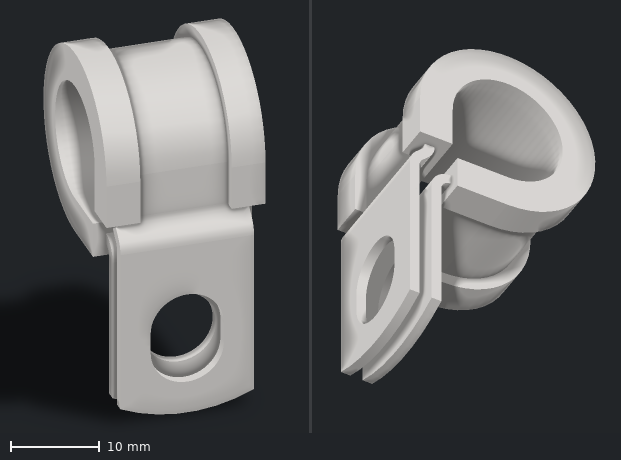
import cadquery as cq
import math

bore_radius = 7.15
cushion_radius = 11.35
cushion_width = 18.9
side_leg_end_z = -5.25
bottom_leg_end_x = 6.5

strap_radius = 9.87
strap_thickness = 1.25
strap_width = 15.9
groove_width = 10.85

tab_outer_x = 11.82
tab_bottom_z = -30.1
tab_end_rise = 1.7
bend_inner_radius = 1.25
hole_diameter = 8.7
hole_z = -20.6
slot_length = 11.1
step_bend_angle = math.radians(45)

strap_inner_radius = strap_radius - strap_thickness
bend_outer_radius = bend_inner_radius + strap_thickness


def extrude_centered(sketch, width):
    """Extrude an XZ outline by the width, symmetrically about Y = 0."""
    return sketch.extrude(width / 2, both=True)


def clamp_loop(inner_radius, outer_radius, width):
    """Three-quarter ring continued by the side leg and the bottom leg."""
    diagonal = math.sqrt(0.5)
    outline = (
        cq.Workplane("XZ")
        .moveTo(outer_radius, side_leg_end_z)
        .lineTo(outer_radius, 0)
        .threePointArc((-outer_radius * diagonal, outer_radius * diagonal), (0, -outer_radius))
        .lineTo(bottom_leg_end_x, -outer_radius)
        .lineTo(bottom_leg_end_x, -inner_radius)
        .lineTo(0, -inner_radius)
        .threePointArc((-inner_radius * diagonal, inner_radius * diagonal), (inner_radius, 0))
        .lineTo(inner_radius, side_leg_end_z)
        .close()
    )
    return extrude_centered(outline, width)


def arc_point(center, radius, angle):
    """Point on a circle in the XZ plane; the angle is in radians from +X."""
    return (center[0] + radius * math.cos(angle), center[1] + radius * math.sin(angle))


def inner_tab():
    """Strap end that turns down through a quarter bend from the bottom leg."""
    center = (bottom_leg_end_x, -strap_inner_radius - bend_outer_radius)
    mid_angle = math.pi / 4
    outline = (
        cq.Workplane("XZ")
        .moveTo(center[0], -strap_inner_radius)
        .threePointArc(
            arc_point(center, bend_outer_radius, mid_angle), arc_point(center, bend_outer_radius, 0)
        )
        .lineTo(center[0] + bend_outer_radius, tab_bottom_z)
        .lineTo(center[0] + bend_inner_radius, tab_bottom_z)
        .lineTo(center[0] + bend_inner_radius, center[1])
        .threePointArc(
            arc_point(center, bend_inner_radius, mid_angle),
            (center[0], -strap_radius),
        )
        .close()
    )
    return extrude_centered(outline, strap_width)


def outer_tab():
    """Strap end that steps outward through two bends and a sloped run below the side leg."""
    step = tab_outer_x - strap_radius
    bend_angle = step_bend_angle
    radius_sum = bend_inner_radius + bend_outer_radius
    sloped_run_x = step - radius_sum * (1 - math.cos(bend_angle))
    sloped_run_z = sloped_run_x / math.tan(bend_angle)
    upper = (strap_inner_radius + bend_outer_radius, side_leg_end_z)
    lower = (
        tab_outer_x - bend_outer_radius,
        side_leg_end_z - radius_sum * math.sin(bend_angle) - sloped_run_z,
    )
    half_turn = math.pi
    outline = (
        cq.Workplane("XZ")
        .moveTo(strap_radius, side_leg_end_z)
        .threePointArc(
            arc_point(upper, bend_inner_radius, half_turn + bend_angle / 2),
            arc_point(upper, bend_inner_radius, half_turn + bend_angle),
        )
        .lineTo(*arc_point(lower, bend_outer_radius, bend_angle))
        .threePointArc(
            arc_point(lower, bend_outer_radius, bend_angle / 2),
            arc_point(lower, bend_outer_radius, 0),
        )
        .lineTo(tab_outer_x, tab_bottom_z)
        .lineTo(tab_outer_x - strap_thickness, tab_bottom_z)
        .lineTo(tab_outer_x - strap_thickness, lower[1])
        .threePointArc(
            arc_point(lower, bend_inner_radius, bend_angle / 2),
            arc_point(lower, bend_inner_radius, bend_angle),
        )
        .lineTo(*arc_point(upper, bend_outer_radius, half_turn + bend_angle))
        .threePointArc(
            arc_point(upper, bend_outer_radius, half_turn + bend_angle / 2),
            (strap_inner_radius, side_leg_end_z),
        )
        .close()
    )
    return extrude_centered(outline, strap_width)


def tab_envelope():
    """Block along X with the rounded lower end shared by both tabs."""
    half_width = strap_width / 2
    corner_z = tab_bottom_z + tab_end_rise
    return (
        cq.Workplane("YZ")
        .moveTo(-half_width, 0)
        .lineTo(-half_width, corner_z)
        .threePointArc((0, tab_bottom_z), (half_width, corner_z))
        .lineTo(half_width, 0)
        .close()
        .extrude(tab_outer_x)
    )


groove_cutter = extrude_centered(
    cq.Workplane("XZ").rect(4 * cushion_radius, 4 * cushion_radius), groove_width
).cut(clamp_loop(bore_radius, strap_radius, cushion_width))
cushion = clamp_loop(bore_radius, cushion_radius, cushion_width).cut(groove_cutter)

hole_center = cq.Workplane("YZ").center(0, hole_z)
bolt_hole = hole_center.circle(hole_diameter / 2).extrude(tab_outer_x)
bolt_slot = hole_center.slot2D(slot_length, hole_diameter, 90).extrude(tab_outer_x)
tabs = inner_tab().cut(bolt_hole).union(outer_tab().cut(bolt_slot)).intersect(tab_envelope())

result = cushion.union(tabs)